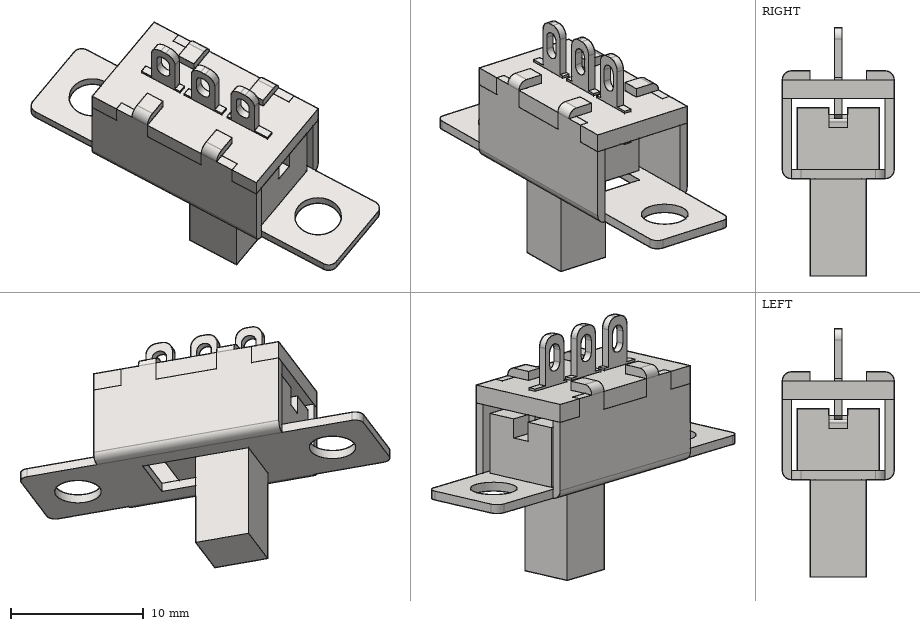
import cadquery as cq


sheet = 0.7
frame_length = 14.84
frame_width = 8.44
floor_width = frame_width - 2 * sheet
ear_span = 27.45
ear_corner_radius = 0.7
mount_hole_diameter = 3.5
mount_hole_pitch = 20.4

plate_bottom = 6.04
plate_thickness = 1.4
plate_top = plate_bottom + plate_thickness

lug_inner_x = 2.43
lug_length = 2.8
tab_length = lug_length / 2
tab_reach = 2.1
tab_top = plate_top + sheet

travel = 4.24
knob_size = 4.24
knob_drop = 7.34
slider_x = travel / 2
slider_length = 10.0
slider_width = 6.2
slider_top = 5.36
groove_width = 1.43
groove_floor = 3.87

terminal_places = [
    (-3.59, -5.58, -2.08),
    (0.0, -1.70, 1.70),
    (3.59, 2.18, 5.83),
]
terminal_thickness = 0.6
solder_lug_width = 2.12
solder_lug_height = 3.94
solder_lug_top = plate_top + solder_lug_height
solder_lug_radius = 0.85
eye_width = 1.15
eye_height = 2.1
eye_z = 9.62
blade_step = 0.17
blade_top = plate_top + blade_step
blade_tip = 4.55
blade_sag = 0.3

contact_x = (terminal_places[1][2] + terminal_places[2][1]) / 2
contact_peak = blade_tip + blade_sag
contact_shoulder = 4.54
contact_roof_half = 1.41
contact_corner_radius = 0.25


def block(x_min, x_max, y_min, y_max, z_min, z_max):
    """Box given by its limits along each axis."""
    return (
        cq.Workplane("XY")
        .box(x_max - x_min, y_max - y_min, z_max - z_min, centered=False)
        .translate((x_min, y_min, z_min))
    )


def centred_block(x, length, width, z_min, z_max):
    """Box centred on X = x and Y = 0."""
    return block(x - length / 2, x + length / 2, -width / 2, width / 2, z_min, z_max)


def wall_lug(side_x, side_y):
    """Lug on top of one frame wall, with its tab folded inward over the plate."""
    wall_y = frame_width / 2
    lug = block(lug_inner_x, lug_inner_x + lug_length, wall_y - sheet, wall_y, plate_bottom, plate_top)
    tab = (
        cq.Workplane("YZ", origin=(lug_inner_x, 0, 0))
        .moveTo(wall_y - tab_reach, plate_top)
        .lineTo(wall_y, plate_top)
        .radiusArc((wall_y - sheet, tab_top), -sheet)
        .lineTo(wall_y - tab_reach, tab_top)
        .close()
        .extrude(tab_length)
    )
    lug = lug.union(tab)
    if side_x < 0:
        lug = lug.mirror("YZ")
    if side_y < 0:
        lug = lug.mirror("XZ")
    return lug


def make_frame():
    channel = (
        centred_block(0, frame_length, frame_width, 0, plate_bottom)
        .edges("|X and <Z")
        .fillet(sheet)
        .cut(centred_block(0, frame_length, floor_width, sheet, plate_bottom))
    )
    ears = (
        centred_block(0, ear_span, floor_width, 0, sheet)
        .edges("|Z")
        .fillet(ear_corner_radius)
        .faces(">Z")
        .workplane()
        .pushPoints([(-mount_hole_pitch / 2, 0), (mount_hole_pitch / 2, 0)])
        .hole(mount_hole_diameter)
    )
    frame = channel.union(ears)
    for side_x in (-1, 1):
        for side_y in (-1, 1):
            frame = frame.union(wall_lug(side_x, side_y))
    knob_slot = centred_block(0, knob_size + travel, knob_size, 0, sheet)
    return frame.cut(knob_slot)


def make_plate():
    plate = centred_block(0, frame_length, frame_width, plate_bottom, plate_top)
    notch_x = lug_inner_x + lug_length / 2
    notch_y = (frame_width - sheet) / 2
    for x in (-notch_x, notch_x):
        for y in (-notch_y, notch_y):
            notch = centred_block(x, lug_length, sheet, plate_bottom, plate_top)
            plate = plate.cut(notch.translate((0, y, 0)))
    for _, left, right in terminal_places:
        half = terminal_thickness / 2
        plate = plate.cut(block(left, right, -half, half, plate_bottom, plate_top))
    return plate


def make_slider():
    body = centred_block(slider_x, slider_length, slider_width, sheet, slider_top)
    groove = centred_block(slider_x, slider_length, groove_width, groove_floor, slider_top)
    knob = centred_block(slider_x, knob_size, knob_size, -knob_drop, sheet)
    return body.cut(groove).union(knob)


def make_terminal(lug_x, left, right):
    """Flat blade with a bowed lower edge, carrying a rounded solder lug with an eye."""
    blade = (
        cq.Workplane("XZ")
        .moveTo(left, blade_top)
        .lineTo(left, blade_tip + blade_sag)
        .threePointArc(((left + right) / 2, blade_tip), (right, blade_tip + blade_sag))
        .lineTo(right, blade_top)
        .close()
        .extrude(terminal_thickness / 2, both=True)
    )
    lug = (
        centred_block(lug_x, solder_lug_width, terminal_thickness, plate_top, solder_lug_top)
        .edges("|Y and >Z")
        .fillet(solder_lug_radius)
    )
    eye = (
        cq.Workplane("XZ")
        .center(lug_x, eye_z)
        .slot2D(eye_height, eye_width, 90)
        .extrude(terminal_thickness, both=True)
    )
    return blade.union(lug).cut(eye)


def make_contact():
    """Roof-shaped bridge that lies on the groove floor, peaked between two blades."""
    end = contact_roof_half + contact_corner_radius
    slope = (contact_peak - contact_shoulder) / contact_roof_half
    eaves = contact_peak - slope * end
    return (
        cq.Workplane("XZ")
        .moveTo(-end, groove_floor)
        .lineTo(end, groove_floor)
        .lineTo(end, eaves)
        .lineTo(0, contact_peak)
        .lineTo(-end, eaves)
        .close()
        .extrude(groove_width / 2, both=True)
        .edges("|Y and (<X or >X) and (not <Z)")
        .fillet(contact_corner_radius)
        .translate((contact_x, 0, 0))
    )


frame = make_frame()
plate = make_plate()
slider = make_slider()
contact = make_contact()
terminals = [make_terminal(*place) for place in terminal_places]

result = cq.Compound.makeCompound(
    [frame.val(), plate.val(), slider.val(), contact.val(), *[terminal.val() for terminal in terminals]]
)